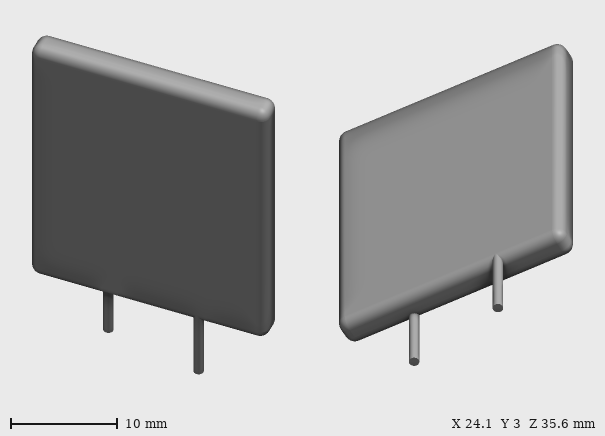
import cadquery as cq

body_width = 24.1
body_depth = 3.0
total_height = 35.6

body_height = 29.0
edge_radius = 1.0
lead_diameter = 1.0
lead_pitch = 10.0

lead_length = total_height - body_height
lead_radius = lead_diameter / 2
lead_offset_y = body_depth / 2 - lead_radius


def make_body():
    """Flat upright block with every edge rounded, standing on Z = 0."""
    block = cq.Workplane("XY").box(body_width, body_depth, body_height, centered=(True, True, False))
    return block.edges().fillet(edge_radius)


def make_lead(x, y):
    """Round lead running from below the body up to the top of the bottom edge rounding."""
    return (
        cq.Workplane("XY", origin=(x, y, -lead_length))
        .circle(lead_radius)
        .extrude(lead_length + edge_radius)
    )


result = make_body()
for side in (-1, 1):
    result = result.union(make_lead(side * lead_pitch / 2, -side * lead_offset_y))